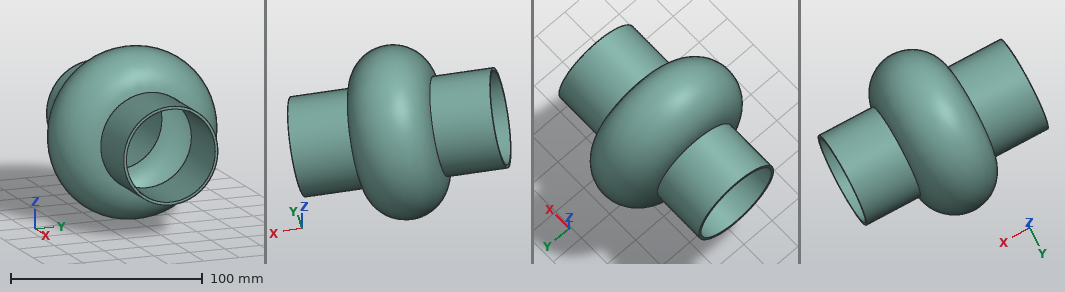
import cadquery as cq

pipe_length = 108.0
pipe_outer_diameter = 53.0
pipe_inner_diameter = 50.0
bulge_diameter = 92.0
bulge_width = 44.3

wall = (pipe_outer_diameter - pipe_inner_diameter) / 2
bulge_radius = bulge_width / 2
ring_radius = bulge_diameter / 2 - bulge_radius


def cylinder(diameter, length):
    """Cylinder on the X axis, centred on the origin."""
    return cq.Workplane("YZ").circle(diameter / 2).extrude(length / 2, both=True)


def bulge(section_radius):
    """Solid of revolution about X: a round-rimmed disc reaching the axis."""
    return (
        cq.Workplane("XY")
        .moveTo(-section_radius, 0)
        .lineTo(-section_radius, ring_radius)
        .threePointArc((0, ring_radius + section_radius), (section_radius, ring_radius))
        .lineTo(section_radius, 0)
        .close()
        .revolve(360, (0, 0, 0), (1, 0, 0))
    )


outer_body = cylinder(pipe_outer_diameter, pipe_length).union(bulge(bulge_radius))
cavity = cylinder(pipe_inner_diameter, pipe_length).union(bulge(bulge_radius - wall))

result = outer_body.cut(cavity)